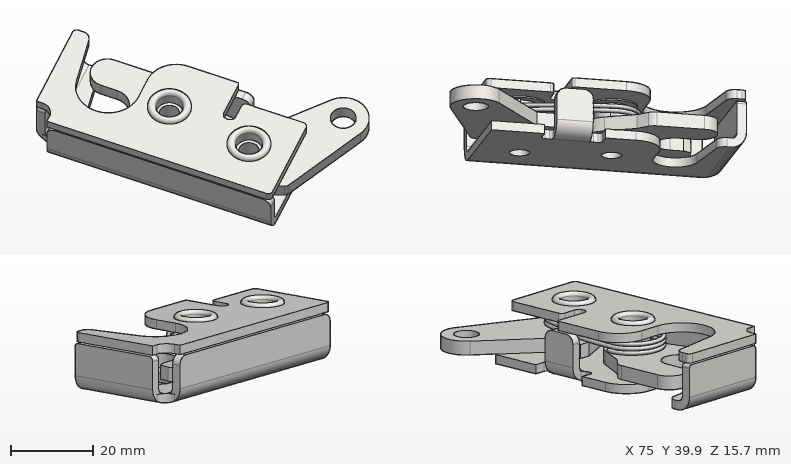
import cadquery as cq
import math

case_length = 63.6
case_depth = 28.7
sheet = 2.3
bend_radius = 3.9
wall_top = 12.0
front_wall_corner_radius = 2.25
left_wall_corner_radius = 1.1
wall_back_radius = 0.75

cover_bottom = 12.45
cover_top = cover_bottom + sheet
cover_corner_radius = 1.1
overall_height = 15.7

relief_size = 4.7
relief_radius = 3.1

mouth_x = 14.5
mouth_y = 15.45
mouth_radius = 7.95
mouth_inset = 2.4
mouth_lean = math.radians(9)
mouth_left_radius = 2.25
mouth_right_radius = 7.5

pivot_1 = (30.5, 15.5)
pivot_2 = (52.7, 12.4)

post_radius = 8.5 / 2
flange_radius = 12.7 / 2
flange_bottom = 12.1
rolled_rim_radius = 10.7 / 2
rivet_bore_radius = 6.6 / 2
screw_hole_radius = 4.95 / 2

plate_bottom = 4.05
plate_thickness = 3.5
hub_radius = 7.1


def polar(centre, radius, angle):
    """Point at an angle in radians on a circle."""
    return (centre[0] + radius * math.cos(angle), centre[1] + radius * math.sin(angle))


def tangent_point(point, centre, radius, side):
    """Where a line from a point touches a circle; side +1 or -1 picks one of the two."""
    dx = point[0] - centre[0]
    dy = point[1] - centre[1]
    spread = math.acos(radius / math.hypot(dx, dy))
    return polar(centre, radius, math.atan2(dy, dx) + side * spread)


def box(x0, x1, y0, y1, z0, z1):
    """Box between two corners."""
    return cq.Workplane("XY").box(x1 - x0, y1 - y0, z1 - z0, centered=False).translate((x0, y0, z0))


def fillet_upright(plate, x, y, radius):
    """Round the upright edge nearest to (x, y)."""
    middle = plate.val().BoundingBox().center.z
    nearest = cq.selectors.NearestToPointSelector((x, y, middle))
    return plate.edges("|Z").edges(nearest).fillet(radius)


def cut_mouth(plate, inset):
    """Cut the open striker mouth into the rear edge of a plate and round its entry."""
    radius = mouth_radius - inset
    centre = (mouth_x, mouth_y)
    left_start = polar(centre, radius, math.pi + mouth_lean)
    lowest = polar(centre, radius, -math.pi / 2)
    right_start = polar(centre, radius, 0)
    left_end_x = left_start[0] - (case_depth - left_start[1]) * math.tan(mouth_lean)
    mouth = (
        cq.Workplane("XY")
        .moveTo(left_end_x, case_depth)
        .lineTo(*left_start)
        .threePointArc(lowest, right_start)
        .lineTo(right_start[0], case_depth)
        .close()
        .extrude(overall_height)
    )
    plate = plate.cut(mouth)
    plate = fillet_upright(plate, left_end_x, case_depth, mouth_left_radius)
    return fillet_upright(plate, right_start[0], case_depth, mouth_right_radius)


def corner_relief():
    """Cutter for the front left corner, rounded at its inner corner."""
    cutter = box(0, relief_size, 0, relief_size, 0, overall_height)
    return fillet_upright(cutter, relief_size, relief_size, relief_radius)


def screw_holes(radius):
    """Cutters for holes on both pivot axes."""
    return cq.Workplane("XY").pushPoints([pivot_1, pivot_2]).circle(radius).extrude(overall_height)


tab_left = 38.25
tab_right = 47.3
tab_corner_radius = 2.25
notch_width = 3.1
notch_radius = 1.0


def bend(workplane, length):
    """Quarter-round sheet bend, outer faces on the workplane's axes."""
    return (
        workplane.moveTo(0, bend_radius)
        .radiusArc((bend_radius, 0), -bend_radius)
        .lineTo(bend_radius, sheet)
        .radiusArc((sheet, bend_radius), bend_radius - sheet)
        .close()
        .extrude(length)
    )


def make_housing():
    bend_start = relief_size / 2
    front_bend = bend(cq.Workplane("YZ", origin=(bend_start, 0, 0)), case_length - bend_start)
    left_bend = bend(cq.Workplane("XZ", origin=(0, case_depth, 0)), case_depth - bend_start)
    tab_bend = bend(cq.Workplane("YZ", origin=(tab_left, 0, 0)), tab_right - tab_left)
    tab_bend = tab_bend.mirror("XZ").translate((0, case_depth, 0))

    front_wall = box(relief_size, case_length, 0, sheet, bend_radius, wall_top)
    front_wall = front_wall.edges("|Y and >Z").fillet(front_wall_corner_radius)
    left_wall = box(0, sheet, relief_size, case_depth, bend_radius, wall_top)
    left_wall = left_wall.edges("|X and >Z and <Y").fillet(left_wall_corner_radius)
    left_wall = left_wall.edges("|X and >Z and >Y").fillet(wall_back_radius)
    tab = box(tab_left, tab_right, case_depth - sheet, case_depth, bend_radius, wall_top)
    tab = tab.edges("|Y and >Z").fillet(tab_corner_radius)

    floor = box(bend_radius, case_length, bend_radius, case_depth, 0, sheet)
    tab_gap = box(tab_left, tab_right, case_depth - bend_radius, case_depth, 0, sheet)
    floor = floor.cut(tab_gap).union(front_bend).union(left_bend)
    floor = cut_mouth(floor, mouth_inset)
    housing = floor.union(tab_bend).union(front_wall).union(left_wall).union(tab)

    for notch_left in (tab_left - notch_width, tab_right):
        notch = box(notch_left, notch_left + notch_width, case_depth - bend_radius, case_depth, 0, wall_top)
        housing = housing.cut(notch.edges("|Z and <Y").fillet(notch_radius))
    bend_ends = box(0, relief_size, 0, relief_size, sheet, wall_top)
    return housing.cut(corner_relief()).cut(bend_ends).cut(screw_holes(screw_hole_radius))


slot_width = 3.15
slot_left = 43.4
slot_end_y = 18.9
step_y = 23.5
slot_corner_radius = 0.6


def make_cover():
    slot_right = slot_left + slot_width
    cover = box(0, case_length, 0, case_depth, cover_bottom, cover_top)
    cover = cover.cut(corner_relief())
    cover = cover.cut(box(slot_left, case_length, step_y, case_depth, cover_bottom, cover_top))
    slot_radius = slot_width / 2
    slot_end = cq.Workplane("XY").moveTo(slot_left + slot_radius, slot_end_y).circle(slot_radius)
    cover = cover.cut(box(slot_left, slot_right, slot_end_y, step_y, cover_bottom, cover_top))
    cover = cover.cut(slot_end.extrude(overall_height))
    for x, y in ((0, case_depth), (case_length, 0), (case_length, step_y), (slot_right, step_y)):
        cover = fillet_upright(cover, x, y, cover_corner_radius)
    cover = fillet_upright(cover, slot_left, case_depth, slot_corner_radius)
    cover = cut_mouth(cover, 0)
    return cover.cut(screw_holes(post_radius))


def make_rivet(pivot):
    rim_middle = (rolled_rim_radius + rivet_bore_radius) / 2
    return (
        cq.Workplane("XZ")
        .moveTo(screw_hole_radius, sheet)
        .lineTo(post_radius, sheet)
        .lineTo(post_radius, flange_bottom)
        .lineTo(flange_radius, flange_bottom)
        .lineTo(flange_radius, cover_bottom)
        .lineTo(post_radius, cover_bottom)
        .lineTo(post_radius, cover_top)
        .lineTo(rolled_rim_radius, cover_top)
        .threePointArc((rim_middle, overall_height), (rivet_bore_radius, cover_top))
        .lineTo(rivet_bore_radius, flange_bottom)
        .lineTo(screw_hole_radius, flange_bottom)
        .close()
        .revolve(360, (0, 0), (0, 1))
        .translate((*pivot, 0))
    )


jaw_slot_x = 14.8
jaw_slot_radius = 4.9
jaw_finger_x = 10.5
jaw_shoulder = (23.5, case_depth)
jaw_shoulder_radius = 2.7
jaw_flank = (26.6, 25.6)
jaw_lower_lip_x = 11.4
jaw_lower_tip = (9.4, 9.7)
jaw_lower_side = (8.8, 6.9)
jaw_lower_corner = (9.9, 4.3)
jaw_bottom = 3.15
jaw_bottom_x = 12.5


def make_jaw():
    slot_top = mouth_y + jaw_slot_radius
    slot_bottom_y = mouth_y - jaw_slot_radius
    finger_radius = (case_depth - slot_top) / 2
    bottom_point = (jaw_bottom_x, jaw_bottom)
    jaw = (
        cq.Workplane("XY", origin=(0, 0, plate_bottom))
        .moveTo(jaw_slot_x, slot_top)
        .threePointArc((jaw_slot_x + jaw_slot_radius, mouth_y), (jaw_slot_x, slot_bottom_y))
        .lineTo(jaw_lower_lip_x, slot_bottom_y)
        .lineTo(*jaw_lower_tip)
        .lineTo(*jaw_lower_side)
        .threePointArc(jaw_lower_corner, bottom_point)
        .lineTo(*tangent_point(bottom_point, pivot_1, hub_radius, 1))
        .threePointArc(polar(pivot_1, hub_radius, 0), tangent_point(jaw_flank, pivot_1, hub_radius, -1))
        .lineTo(*jaw_flank)
        .lineTo(*jaw_shoulder)
        .lineTo(jaw_finger_x, case_depth)
        .threePointArc((jaw_finger_x - finger_radius, case_depth - finger_radius), (jaw_finger_x, slot_top))
        .close()
        .extrude(plate_thickness)
    )
    jaw = fillet_upright(jaw, *jaw_shoulder, jaw_shoulder_radius)
    return jaw.cut(screw_holes(post_radius))


lever_eye = (68.7, 33.6)
lever_eye_radius = 6.3
lever_hole_radius = 6.2 / 2
lever_heel = (64.1, 9.1)
lever_heel_radius = 1.5
lever_nose_top = 21.9
lever_nose_x = 42.0
lever_nose_bottom = 18.75
lever_elbow_x = 50.6


def make_lever():
    elbow = (lever_elbow_x, lever_nose_top)
    nose = (lever_nose_x, lever_nose_bottom)
    lever = (
        cq.Workplane("XY", origin=(0, 0, plate_bottom))
        .moveTo(*lever_heel)
        .lineTo(*tangent_point(lever_heel, lever_eye, lever_eye_radius, 1))
        .threePointArc(
            polar(lever_eye, lever_eye_radius, math.pi / 2),
            tangent_point(elbow, lever_eye, lever_eye_radius, -1),
        )
        .lineTo(*elbow)
        .lineTo(lever_nose_x, lever_nose_top)
        .lineTo(*nose)
        .lineTo(*tangent_point(nose, pivot_2, hub_radius, 1))
        .threePointArc(
            polar(pivot_2, hub_radius, -math.pi * 3 / 4),
            tangent_point(lever_heel, pivot_2, hub_radius, -1),
        )
        .close()
        .extrude(plate_thickness)
    )
    lever = fillet_upright(lever, *lever_heel, lever_heel_radius)
    eye_hole = cq.Workplane("XY").moveTo(*lever_eye).circle(lever_hole_radius).extrude(overall_height)
    return lever.cut(eye_hole).cut(screw_holes(post_radius))


wire_radius = 0.5
spring_radius = 7.5
spring_end_1 = (31.1, 14.85)
spring_end_2 = (52.7, 11.2)
spring_pitch = 1.1
spring_bottom = plate_bottom + plate_thickness
spring_turns = 3
points_per_end = 8


def make_spring():
    dx = spring_end_2[0] - spring_end_1[0]
    dy = spring_end_2[1] - spring_end_1[1]
    lean = math.atan2(dy, dx)
    oval_length = 2 * math.hypot(dx, dy) + 2 * math.pi * spring_radius
    rise = spring_pitch / oval_length
    points = []
    travelled = 0
    for half_turn in range(2 * spring_turns):
        at_end_2 = half_turn % 2 == 1
        centre = spring_end_2 if at_end_2 else spring_end_1
        start = lean + (-math.pi / 2 if at_end_2 else math.pi / 2)
        for step in range(points_per_end + 1):
            turn = math.pi * step / points_per_end
            height = spring_bottom + wire_radius + rise * (travelled + spring_radius * turn)
            points.append((*polar(centre, spring_radius, start + turn), height))
        travelled += oval_length / 2
    path = cq.Workplane("XY").spline(points)
    start_plane = cq.Plane(origin=points[0], normal=path.val().tangentAt(0))
    return cq.Workplane(start_plane).circle(wire_radius).sweep(path, isFrenet=True)


housing = make_housing()
cover = make_cover()
rivets = [make_rivet(pivot) for pivot in (pivot_1, pivot_2)]
jaw = make_jaw()
lever = make_lever()
spring = make_spring()

result = cq.Compound.makeCompound(
    [
        housing.val(),
        cover.val(),
        *[rivet.val() for rivet in rivets],
        jaw.val(),
        lever.val(),
        spring.val(),
    ]
)